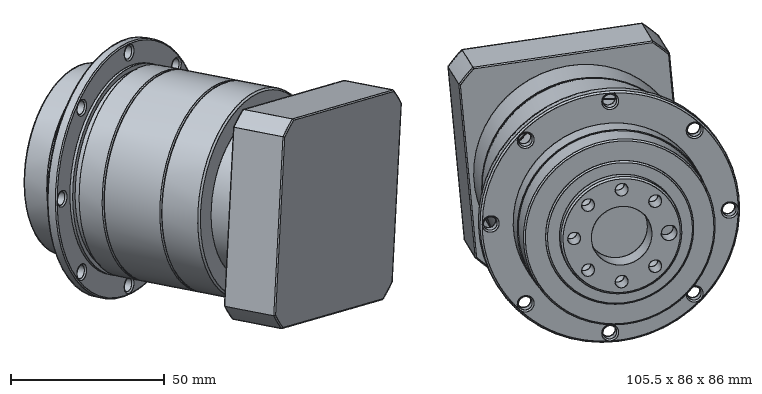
import cadquery as cq
import math

length = 105.5
hub_shoulder_x = 3.0
housing_front_x = 3.6
pilot_step_x = 13.0
flange_front_x = 20.0
flange_back_x = 24.0
groove_front_x = 25.0
groove_back_x = 27.5
ring_front_x = 36.9
ring_back_x = 59.4
neck_front_x = 74.4
plate_front_x = 85.6
recess_floor_x = 13.0

hub_nose_d = 40.1
hub_shoulder_d = 49.1
pilot_front_d = 63.5
pilot_back_d = 64.2
flange_d = 86.0
body_d = 70.0
groove_d = 67.1
neck_d = 56.1

nose_chamfer = 0.6
shoulder_chamfer = 0.5
pilot_chamfer = 0.5
flange_front_chamfer = 0.6
flange_back_chamfer = 0.4
seam_chamfer = 0.4
body_back_chamfer = 0.6
plate_chamfer = 0.4

hub_bore_d = 20.0
hub_bore_depth = 8.0
hub_circle_r = 15.7
hub_hole_pitch = 45.0
screw_hole_d = 4.2
screw_hole_depth = 6.3
drill_tip_angle = 118.0
dowel_hole_d = 5.2
dowel_hole_depth = 6.3
dowel_angle = 180.0

flange_hole_count = 8
flange_circle_r = 39.6
flange_hole_d = 4.5
flange_hole_chamfer = 0.5

plate_side = 70.0
plate_corner_d = 92.1
plate_tilt = -5.2


def revolve_about_x(points):
    """Turn an (x, radius) outline about the X axis."""
    return cq.Workplane("XZ").polyline(points).close().revolve(360, (0, 0, 0), (1, 0, 0))


def disc(x_start, x_end, diameter):
    """Cylinder along X between two stations."""
    radius = diameter / 2
    return revolve_about_x([(x_start, 0), (x_start, radius), (x_end, radius), (x_end, 0)])


def at_angle(shape, radius, angle):
    """Move an on-axis shape out to a bolt circle; angle runs from +Y towards +Z."""
    a = math.radians(angle)
    return shape.translate((0, radius * math.cos(a), radius * math.sin(a)))


def screw_hole():
    """Blind drilled hole with a conical tip."""
    r = screw_hole_d / 2
    tip = r / math.tan(math.radians(drill_tip_angle / 2))
    return revolve_about_x([(0, 0), (0, r), (screw_hole_depth, r), (screw_hole_depth + tip, 0)])


def flange_hole():
    """Through hole in the flange with a chamfer at each end."""
    r = flange_hole_d / 2
    c = flange_hole_chamfer
    return revolve_about_x([
        (flange_front_x, 0),
        (flange_front_x, r + c),
        (flange_front_x + c, r),
        (flange_back_x - c, r),
        (flange_back_x, r + c),
        (flange_back_x, 0),
    ])


def make_output_hub():
    nose = disc(0, hub_shoulder_x, hub_nose_d).faces("<X").chamfer(nose_chamfer)
    shoulder = disc(hub_shoulder_x, recess_floor_x, hub_shoulder_d).faces("<X").chamfer(shoulder_chamfer)
    hub = nose.union(shoulder).cut(disc(0, hub_bore_depth, hub_bore_d))
    for i in range(1, round(360 / hub_hole_pitch)):
        hub = hub.cut(at_angle(screw_hole(), hub_circle_r, dowel_angle + i * hub_hole_pitch))
    dowel_hole = disc(0, dowel_hole_depth, dowel_hole_d)
    return hub.cut(at_angle(dowel_hole, hub_circle_r, dowel_angle))


def make_flange_housing():
    front_pilot = disc(housing_front_x, pilot_step_x, pilot_front_d).faces("<X").chamfer(pilot_chamfer)
    back_pilot = disc(pilot_step_x, flange_front_x, pilot_back_d)
    flange = disc(flange_front_x, flange_back_x, flange_d)
    flange = flange.faces("<X").chamfer(flange_front_chamfer).faces(">X").chamfer(flange_back_chamfer)
    for i in range(flange_hole_count):
        flange = flange.cut(at_angle(flange_hole(), flange_circle_r, i * 360 / flange_hole_count))
    groove_wall = disc(flange_back_x, groove_front_x, body_d)
    groove_floor = disc(groove_front_x, groove_back_x, groove_d)
    body = disc(groove_back_x, ring_front_x, body_d).faces(">X").chamfer(seam_chamfer)
    housing = front_pilot
    for section in (back_pilot, flange, groove_wall, groove_floor, body):
        housing = housing.union(section)
    return housing.cut(disc(housing_front_x, recess_floor_x, hub_shoulder_d))


def make_ring_gear():
    return disc(ring_front_x, ring_back_x, body_d).faces("<X or >X").chamfer(seam_chamfer)


def make_motor_plate():
    thickness = length - plate_front_x
    plate = (
        cq.Workplane("YZ", origin=(plate_front_x, 0, 0))
        .rect(plate_side, plate_side)
        .extrude(thickness)
        .intersect(disc(plate_front_x, length, plate_corner_d))
        .faces("<X or >X")
        .chamfer(plate_chamfer)
    )
    return plate.rotate((0, 0, 0), (1, 0, 0), plate_tilt)


def make_input_housing():
    body = disc(ring_back_x, neck_front_x, body_d)
    body = body.faces("<X").chamfer(seam_chamfer).faces(">X").chamfer(body_back_chamfer)
    neck = disc(neck_front_x, plate_front_x, neck_d)
    return body.union(neck).union(make_motor_plate())


output_hub = make_output_hub()
flange_housing = make_flange_housing()
ring_gear = make_ring_gear()
input_housing = make_input_housing()

result = cq.Compound.makeCompound([
    output_hub.val(),
    flange_housing.val(),
    ring_gear.val(),
    input_housing.val(),
])